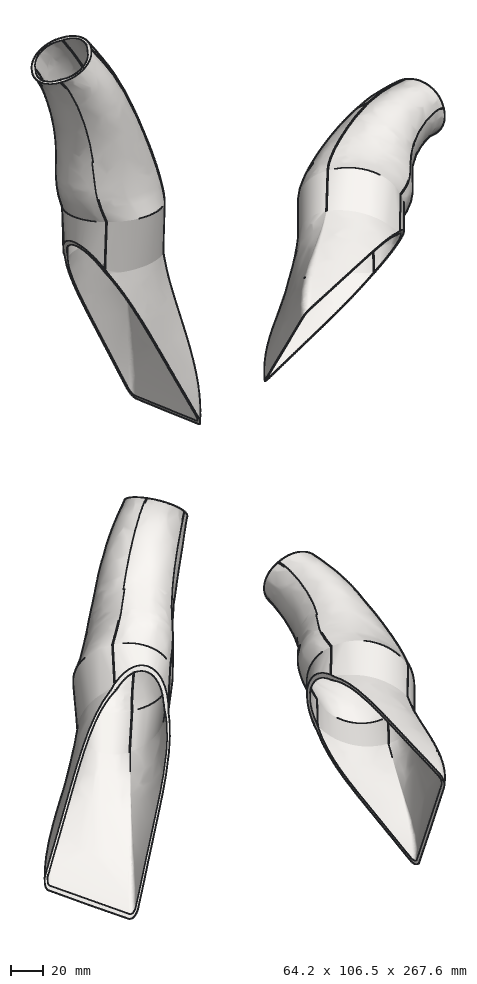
import cadquery as cq
import math


WALL = 1.8
TIP_Y = -0.4
MOUTH_ANGLE = 30.3
CUTTER_HEIGHT = 200.0
CUTTER_HALF_SPAN = 60.0

NECK_RADIUS = 20.0
NECK_TILT = 30.0
NECK_FRONT = (-106.44, 247.55)
NECK_BACK = (
    NECK_FRONT[0] + 2 * NECK_RADIUS * math.cos(math.radians(NECK_TILT)),
    NECK_FRONT[1] + 2 * NECK_RADIUS * math.sin(math.radians(NECK_TILT)),
)
SEAM_RADIUS = 0.5
BLADE_RADIUS = 4.5
NECK_SEAM_ANGLE = math.radians(49)
NECK_SIDE_BOW = NECK_RADIUS * (1 - math.cos(NECK_SEAM_ANGLE))
NECK_END_BOW = NECK_RADIUS * (1 - math.sin(NECK_SEAM_ANGLE))

SECTIONS = [
    ((TIP_Y, 0), (-60, 0), 32.05, 0.1, 0.1, BLADE_RADIUS),
    ((-1.5, 36), (-70, 36), 31.1, 0.8, 0.8, BLADE_RADIUS),
    ((-7.3, 75), (-78, 75), 29.2, 4.8, 4.2, 2.5),
    ((-12.3, 116), (-78.9, 116), 25.6, 7.0, 8.6, SEAM_RADIUS),
    ((-12.5, 151), (-78.9, 151), 30.1, 9.9, 8.6, SEAM_RADIUS),
    ((-21.0, 181.5), (-84.9, 175), 25.2, 7.2, 7.5, SEAM_RADIUS),
    ((-33.9, 210.5), (-84.7, 192.7), 24.5, 8.0, 6.0, SEAM_RADIUS),
    ((-50.0, 239.5), (-92.3, 223.4), 23.6, 8.5, 5.2, SEAM_RADIUS),
    (NECK_BACK, NECK_FRONT, NECK_RADIUS, NECK_SIDE_BOW, NECK_END_BOW, SEAM_RADIUS),
]
JOINTS = [0, 3, 4, 8]


def section_wire(back, front, half_width, side_bow, end_bow, radius, inset):
    """Rounded rectangle with outward-bowed sides, shrunk all round by inset."""
    run = back[0] - front[0]
    rise = back[1] - front[1]
    reach_x = half_width - inset
    reach_y = math.hypot(run, rise) / 2 - inset
    box_x = reach_x - side_bow
    box_y = reach_y - end_bow
    corner = max(radius - inset, SEAM_RADIUS)
    notch = corner * (1 - math.sqrt(0.5))
    plane = cq.Plane(
        origin=(0, (back[0] + front[0]) / 2, (back[1] + front[1]) / 2),
        xDir=(1, 0, 0),
        normal=(0, -rise, run),
    )
    outline = cq.Workplane(plane).moveTo(box_x, corner - box_y)
    outline = outline.threePointArc((reach_x, 0), (box_x, box_y - corner))
    outline = outline.threePointArc((box_x - notch, box_y - notch), (box_x - corner, box_y))
    outline = outline.threePointArc((0, reach_y), (corner - box_x, box_y))
    outline = outline.threePointArc((notch - box_x, box_y - notch), (-box_x, box_y - corner))
    outline = outline.threePointArc((-reach_x, 0), (-box_x, corner - box_y))
    outline = outline.threePointArc((notch - box_x, notch - box_y), (corner - box_x, -box_y))
    outline = outline.threePointArc((0, -reach_y), (box_x - corner, -box_y))
    outline = outline.threePointArc((box_x - notch, notch - box_y), (box_x, corner - box_y))
    return outline.close().val()


def tube(inset):
    """Solid through every section, shrunk by inset, as smooth stretches between the joints."""
    wires = [section_wire(*section, inset) for section in SECTIONS]
    stretches = zip(JOINTS, JOINTS[1:])
    lofts = [cq.Solid.makeLoft(wires[start:end + 1]) for start, end in stretches]
    solid = cq.Workplane(lofts[0])
    for loft in lofts[1:]:
        solid = solid.union(cq.Workplane(loft))
    return solid


def mouth_cutter():
    """Wedge in front of the sloping mouth plane, starting at the blade tip."""
    lean = CUTTER_HEIGHT * math.tan(math.radians(MOUTH_ANGLE))
    return (
        cq.Workplane("YZ")
        .polyline([(TIP_Y, 0), (TIP_Y - lean, CUTTER_HEIGHT), (TIP_Y - lean, 0)])
        .close()
        .extrude(CUTTER_HALF_SPAN, both=True)
    )


result = tube(0).cut(tube(WALL)).cut(mouth_cutter())